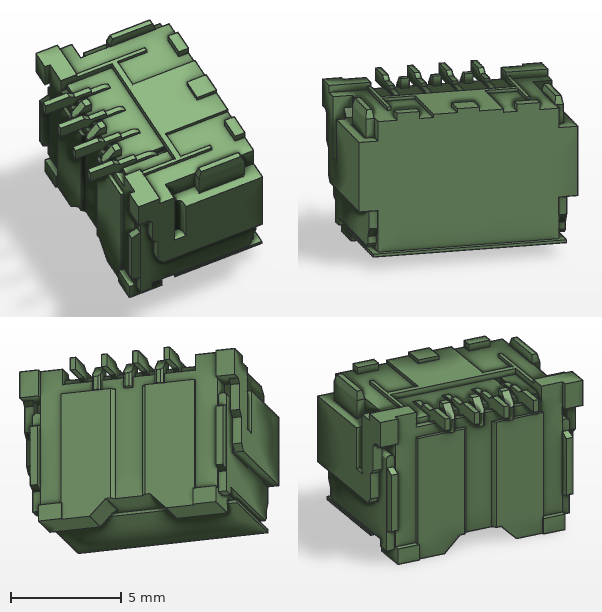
import cadquery as cq
import math


body_half_width = 4.25
wall_y = 0.27
rear_y = 6.33
underside_z = 0.77
shelf_z = 6.94
raised_z = 7.09
top_z = 7.27

foot_depth = 1.65
foot_chamfer = 0.17
foot_inner_x = 3.15
notch_half_width = 1.83
notch_top_half_width = 1.05
corner_depth = 1.10
corner_bottom_z = 6.02

pocket_half_width = 3.18
pocket_rear_y = 2.88
pocket_floor_z = 6.81
ledge_z = 6.53
ledge_rear_y = 0.58
rib_width = 0.18
rib_rear_y = 4.65
crossbar_rear_y = 3.16
raised_half_width = 1.65

side_pad_x = 2.83
side_pad_width = 1.07
side_pad_depth = 0.50
center_pad_width = 1.04
center_pad_depth = 0.99

panel_y = 0.10
panel_top_z = 6.03
panel_inner_x = 0.65
panel_outer_x = 3.19
panel_bevel = wall_y - panel_y

wing_outer_x = 5.15
wing_channel_x = 4.71
wing_front_y = 0.72
wing_lower_front_y = 1.00
wing_bottom_z = 2.74
wing_shoulder_y = 1.83
wing_bevel_top_z = 6.38
wing_bevel_length = 0.39
wing_bottom_chamfer_y = 0.27
wing_bottom_chamfer_top_z = 3.05
wing_step_bottom_z = 4.31
wing_step_top_z = 4.57
wing_top_chamfer = 0.21
slit_rear_y = 5.57
side_slot_rear_y = 2.42
side_slot_bottom_z = 3.99
side_slot_inner_x = 4.64
side_slot_round = 0.25

clip_outer_x = 4.65
clip_front_y = 0.37
clip_bottom_z = 0.60
clip_plate_top_z = 2.70
clip_leg_rear_y = 0.96
clip_arm_bottom_z = 0.96
clip_arm_chamfer = 0.16
clip_arm_lower_rear_y = 6.02
clip_arm_upper_rear_y = 6.24
clip_arm_slope_bottom_z = 1.46
clip_arm_slope_top_z = 1.88
upright_rear_y = 1.22
clip_head_top_z = 5.33
clip_head_round = 0.16
tab_front_y = 3.34
tab_rear_y = 5.67
tab_top_z = 7.30
tab_bevel_height = 0.39
tab_bevel_length = 0.15
tab_edge_inset = 0.07
bump_y = -0.07
bump_bottom_z = 1.56
bump_top_z = 4.74
bump_bevel = 0.18
bump_side_inset = 0.03

lip_half_width = 4.55
lip_front_y = 2.17
lip_rear_y = 6.59
lip_bottom_z = 0.63

pitch = 1.50
pin_width = 0.26
pin_count = 4
pin_end_y = -1.04
pin_top_z = 7.30
pin_bottom_z = 6.71
pin_middle_z = 7.10
pin_low_z = 6.94
pin_bend_front_y = 0.19
pin_bend_rear_y = 0.48
pin_step_y = 1.30
pin_tip_start_y = 1.87
pin_tip_radius = 0.69
pin_slot_width = 0.31
pin_slot_rear_y = 2.85
hook_width = 0.40
hook_rear_y = 0.88
hook_slope_top_y = 0.57
hook_slope_bottom_z = 6.66
hook_edge_chamfer = 0.10


def box(x0, x1, y0, y1, z0, z1):
    """Box between two corners."""
    return cq.Workplane("XY").box(x1 - x0, y1 - y0, z1 - z0, centered=False).translate((x0, y0, z0))


def side_profile(points, x0, x1):
    """Outline of (y, z) points extruded from x0 to x1."""
    return cq.Workplane("YZ").polyline(points).close().extrude(x1 - x0).translate((x0, 0, 0))


def both_sides(shape):
    """Shape joined with its mirror image across the middle of the part."""
    return shape.union(shape.mirror("YZ"))


def make_body():
    body = box(-body_half_width, body_half_width, wall_y, rear_y, underside_z, shelf_z)
    foot_points = [
        (panel_y, 0),
        (foot_depth, 0),
        (foot_depth, underside_z - foot_chamfer),
        (foot_depth + foot_chamfer, underside_z),
        (panel_y, underside_z),
    ]
    body = body.union(side_profile(foot_points, -body_half_width, body_half_width))
    body = body.union(box(-lip_half_width, lip_half_width, lip_front_y, lip_rear_y, lip_bottom_z, underside_z))

    front_post = box(pocket_half_width, body_half_width, wall_y, corner_depth, shelf_z, top_z)
    corner = box(body_half_width, wing_outer_x, 0, corner_depth, corner_bottom_z, top_z)
    front_foot = box(foot_inner_x, body_half_width, 0, foot_depth, 0, underside_z)
    body = body.union(both_sides(front_post.union(corner).union(front_foot)))
    return body.union(both_sides(make_panel())).cut(make_notch())


def make_panel():
    """Raised front panel on the +X side, bevelled towards the middle."""
    outline = [
        (panel_inner_x, wall_y),
        (panel_inner_x + panel_bevel, panel_y),
        (panel_outer_x, panel_y),
        (panel_outer_x, wall_y),
    ]
    return cq.Workplane("XY").polyline(outline).close().extrude(panel_top_z)


def make_notch():
    """Trapezoidal notch through the bottom of the front foot."""
    outline = [
        (-notch_half_width, 0),
        (notch_half_width, 0),
        (notch_top_half_width, underside_z),
        (-notch_top_half_width, underside_z),
    ]
    return cq.Workplane("XZ").polyline(outline).close().extrude(-lip_front_y)


def make_pad(center_x, width, depth):
    """Rectangular stop pad along the rear edge of the top."""
    return box(center_x - width / 2, center_x + width / 2, rear_y - depth, rear_y, shelf_z, top_z)


def add_top_details(body):
    """Raised centre, ribs, crossbar and rear pads on the top; then the stepped pin pocket."""
    rib_outer_x = pocket_half_width + rib_width
    raised = box(-raised_half_width, raised_half_width, pocket_rear_y, rear_y, shelf_z, raised_z)
    crossbar = box(-rib_outer_x, rib_outer_x, pocket_rear_y, crossbar_rear_y, shelf_z, raised_z)
    rib = box(pocket_half_width, rib_outer_x, corner_depth, rib_rear_y, shelf_z, raised_z)
    body = body.union(raised).union(crossbar).union(both_sides(rib))
    body = body.union(make_pad(0, center_pad_width, center_pad_depth))
    body = body.union(both_sides(make_pad(side_pad_x, side_pad_width, side_pad_depth)))

    pocket = box(-pocket_half_width, pocket_half_width, 0, pocket_rear_y, pocket_floor_z, top_z)
    ledge = box(-pocket_half_width, pocket_half_width, 0, ledge_rear_y, ledge_z, top_z)
    return body.cut(pocket).cut(ledge)


def make_wing():
    """Side wing on the +X side, with the clip channel and the upright slot."""
    outline = [
        (wing_lower_front_y + wing_bottom_chamfer_y, wing_bottom_z),
        (wing_lower_front_y, wing_bottom_chamfer_top_z),
        (wing_lower_front_y, wing_step_bottom_z),
        (wing_front_y, wing_step_top_z),
        (wing_front_y, corner_bottom_z - wing_top_chamfer),
        (wing_front_y - wing_top_chamfer, corner_bottom_z),
        (corner_depth, corner_bottom_z),
        (corner_depth, shelf_z),
        (wing_shoulder_y, shelf_z),
        (wing_shoulder_y, wing_bevel_top_z),
        (wing_shoulder_y + wing_bevel_length, corner_bottom_z),
        (rear_y, corner_bottom_z),
        (rear_y, wing_bottom_z),
    ]
    wing = side_profile(outline, body_half_width, wing_outer_x)
    channel = box(body_half_width, wing_channel_x, 0, upright_rear_y, wing_bottom_z, corner_bottom_z)
    slot = box(
        side_slot_inner_x, wing_outer_x, wing_shoulder_y, side_slot_rear_y, side_slot_bottom_z, shelf_z
    )
    slot = slot.edges("|Z and <X and >Y").fillet(side_slot_round)
    slit = box(clip_outer_x, wing_channel_x, tab_front_y, slit_rear_y, wing_bottom_z, corner_bottom_z)
    return wing.cut(channel).cut(slot).cut(slit)


def make_clip():
    """Metal clip on the +X side: lower plate, front upright with bump, and rear tab."""
    plate_points = [
        (clip_front_y, clip_bottom_z),
        (clip_leg_rear_y, clip_bottom_z),
        (clip_leg_rear_y, clip_arm_bottom_z),
        (clip_arm_lower_rear_y - clip_arm_chamfer, clip_arm_bottom_z),
        (clip_arm_lower_rear_y, clip_arm_bottom_z + clip_arm_chamfer),
        (clip_arm_lower_rear_y, clip_arm_slope_bottom_z),
        (clip_arm_upper_rear_y, clip_arm_slope_top_z),
        (clip_arm_upper_rear_y, clip_plate_top_z),
        (clip_front_y, clip_plate_top_z),
    ]
    plate = side_profile(plate_points, body_half_width, clip_outer_x)

    upright = box(
        body_half_width, clip_outer_x, clip_front_y, upright_rear_y, clip_plate_top_z, clip_head_top_z
    )
    upright = upright.edges("|Y and >Z").fillet(clip_head_round)

    bump_points = [
        (clip_front_y, bump_bottom_z),
        (bump_y, bump_bottom_z + bump_bevel),
        (bump_y, bump_top_z - bump_bevel),
        (clip_front_y, bump_top_z),
    ]
    bump_inner_x = body_half_width + bump_side_inset
    bump_outer_x = clip_outer_x - bump_side_inset
    bump = side_profile(bump_points, bump_inner_x, bump_outer_x)

    bevel_z = tab_top_z - tab_bevel_height
    tab_points = [
        (tab_front_y, clip_plate_top_z),
        (tab_front_y, bevel_z),
        (tab_front_y + tab_bevel_length, tab_top_z),
        (tab_rear_y - tab_bevel_length, tab_top_z),
        (tab_rear_y, bevel_z),
        (tab_rear_y, clip_plate_top_z),
    ]
    tab = side_profile(tab_points, body_half_width, clip_outer_x)
    side_taper = [
        (body_half_width, clip_plate_top_z),
        (body_half_width, bevel_z),
        (body_half_width + tab_edge_inset, tab_top_z),
        (clip_outer_x - tab_edge_inset, tab_top_z),
        (clip_outer_x, bevel_z),
        (clip_outer_x, clip_plate_top_z),
    ]
    tab = tab.intersect(cq.Workplane("XZ").polyline(side_taper).close().extrude(-rear_y))
    return plate.union(upright).union(bump).union(tab)


def make_pin(center_x):
    """Stepped contact pin whose rounded tip dips into the pocket floor."""
    root_z = ledge_z
    arc_center_z = pin_low_z - pin_tip_radius
    tip_end_angle = math.asin((root_z - arc_center_z) / pin_tip_radius)
    tip_end_y = pin_tip_start_y + pin_tip_radius * math.cos(tip_end_angle)
    tip_middle_angle = (tip_end_angle + math.pi / 2) / 2
    tip_middle_y = pin_tip_start_y + pin_tip_radius * math.cos(tip_middle_angle)
    tip_middle_z = arc_center_z + pin_tip_radius * math.sin(tip_middle_angle)
    profile = (
        cq.Workplane("YZ")
        .moveTo(pin_end_y, pin_bottom_z)
        .lineTo(pin_end_y, pin_top_z)
        .lineTo(pin_bend_front_y, pin_top_z)
        .lineTo(pin_bend_rear_y, pin_middle_z)
        .lineTo(pin_step_y, pin_middle_z)
        .lineTo(pin_step_y, pin_low_z)
        .lineTo(pin_tip_start_y, pin_low_z)
        .threePointArc((tip_middle_y, tip_middle_z), (tip_end_y, root_z))
        .lineTo(pin_bend_rear_y, root_z)
        .lineTo(pin_bend_front_y, pin_bottom_z)
        .close()
    )
    return profile.extrude(pin_width).translate((center_x - pin_width / 2, 0, 0))


def make_hook(center_x):
    """Sloped hook between two pins, with its front upright edges bevelled."""
    outline = [
        (0, panel_top_z),
        (0, hook_slope_bottom_z),
        (hook_slope_top_y, top_z),
        (hook_rear_y, top_z),
        (hook_rear_y, panel_top_z),
    ]
    hook = side_profile(outline, -hook_width / 2, hook_width / 2)
    hook = hook.faces("<Y").edges("|Z").chamfer(hook_edge_chamfer)
    return hook.translate((center_x, 0, 0))


result = add_top_details(make_body())
result = result.union(both_sides(make_wing().union(make_clip())))

first_pin_x = -pitch * (pin_count - 1) / 2
last_pin_x = -first_pin_x
slot_start_x = last_pin_x - pin_slot_width / 2
slot_end_x = last_pin_x + pin_slot_width / 2
result = result.cut(box(slot_start_x, slot_end_x, ledge_rear_y, pin_slot_rear_y, ledge_z, pocket_floor_z))

for index in range(pin_count):
    result = result.union(make_pin(first_pin_x + index * pitch))
for index in range(pin_count - 1):
    result = result.union(make_hook(first_pin_x + (index + 0.5) * pitch))